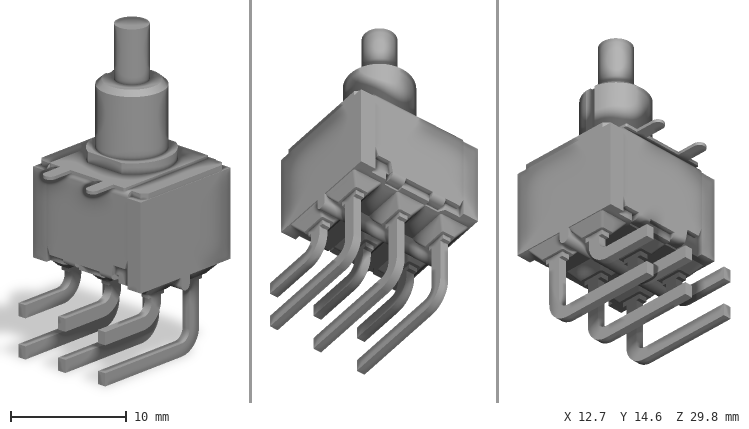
import cadquery as cq
import math


SHOULDER_Z = 8.43
DECK_Z = 8.97
PLATE_Z = 9.25
NUT_Z = 10.3
BUSHING_Z = 16.62
PLUNGER_Z = 21.78
TERMINAL_FOOT_Z = -8.0

OVERALL_Y = 14.6
HOUSING_X = 12.7
HOUSING_Y = 11.4
CORE_Y = 10.3
DECK_X = 12.6
DECK_CHAMFER = 0.48
DIVIDER_WIDTH = 1.05
DIVIDER_DROP = 1.3

COVER_X = 9.55
COVER_Y = 11.35
COVER_BEND_R = DECK_Z - SHOULDER_Z
COVER_EDGE_Z = 0.75
CUT_CORNER_X = 0.35
CUT_CORNER_Z = 0.95
NOTCH_Z = 1.75
NOTCH_X = 2.9
NOTCH_LEAN = 0.18
NOTCH_R = 0.15

POCKET_INNER_X = 1.45
POCKET_OUTER_X = 3.22
POCKET_DEPTH = 0.6
POCKET_TAPER = 0.35
LATCH_BEND_R = 0.55

PLATE_X = 8.88
PLATE_BACK_Y = 4.97
PLATE_CORNER_R = 0.18
TAB_PITCH = 5.05
TAB_WIDTH = 1.22
TAB_REACH = 8.25

NUT_D = 7.95
NUT_FLATS = 6.88
BUSHING_D = 6.35
BUSHING_RIM_D = 5.27
BUSHING_BEVEL = 0.48
KEYWAY_WIDTH = 1.0
KEYWAY_FLOOR = 2.38

PLUNGER_D = 3.1

TERMINAL_PITCH = 4.7
ROW_Y = 2.4
TERMINAL_WIDTH = 0.83
TERMINAL_THICKNESS = 1.22
TERMINAL_BEND_R = 1.0
TERMINAL_REACH = OVERALL_Y - HOUSING_Y / 2
ROW_STEP_Z = 3.8
SEAT_X = 3.07
SEAT_Y = 4.3
SEAT_HEIGHT = 0.98
SEAT_INSET = 0.83
SEAT_EDGE_R = 0.3
COLLAR_Y = 2.0
COLLAR_DROP = 1.45


def slab(size_x, size_y, bottom, top):
    """Box centred on the plunger axis between two levels."""
    return cq.Workplane("XY").workplane(offset=bottom).rect(size_x, size_y).extrude(top - bottom)


def make_case():
    """Core, two side walls, chamfered deck and the round-nosed divider underneath."""
    core = slab(HOUSING_X, CORE_Y, 0, SHOULDER_Z)
    wall_x = (HOUSING_X - COVER_X) / 2
    for side in (-1, 1):
        wall = slab(wall_x, HOUSING_Y, 0, SHOULDER_Z)
        core = core.union(wall.translate((side * (HOUSING_X - wall_x) / 2, 0, 0)))
    deck = slab(DECK_X, CORE_Y, SHOULDER_Z, DECK_Z).edges("|Z").chamfer(DECK_CHAMFER)

    radius = DIVIDER_WIDTH / 2
    divider = (
        cq.Workplane("YZ")
        .moveTo(-radius, 0)
        .lineTo(-radius, radius - DIVIDER_DROP)
        .threePointArc((0, -DIVIDER_DROP), (radius, radius - DIVIDER_DROP))
        .lineTo(radius, 0)
        .close()
        .extrude(HOUSING_X / 2, both=True)
    )
    return core.union(deck).union(divider)


def make_cover():
    """Cover with rounded upper bends, a cut lower corner and a notched lower corner."""
    half_x = COVER_X / 2
    sheet = slab(COVER_X, COVER_Y, 0, DECK_Z).edges("|X and >Z").fillet(COVER_BEND_R)
    outline = [
        (-half_x, DECK_Z),
        (-half_x, COVER_EDGE_Z + CUT_CORNER_Z),
        (-half_x + CUT_CORNER_X, COVER_EDGE_Z),
        (NOTCH_X, COVER_EDGE_Z),
        (NOTCH_X + NOTCH_LEAN, NOTCH_Z),
        (half_x - CUT_CORNER_X, NOTCH_Z),
        (half_x, NOTCH_Z + CUT_CORNER_Z),
        (half_x, DECK_Z),
    ]
    panel = cq.Workplane("XZ").polyline(outline).close().extrude(COVER_Y / 2, both=True)
    notch_corner = cq.selectors.NearestToPointSelector((NOTCH_X + NOTCH_LEAN, 0, NOTCH_Z))
    return sheet.intersect(panel.edges(notch_corner).fillet(NOTCH_R))


def make_latch_pocket():
    """Pocket in the front face of the core on the +X side, open below."""
    face_y = -CORE_Y / 2
    floor_y = face_y + POCKET_DEPTH
    outline = [
        (POCKET_INNER_X, face_y),
        (POCKET_OUTER_X, face_y),
        (POCKET_OUTER_X - POCKET_TAPER, floor_y),
        (POCKET_INNER_X, floor_y),
    ]
    return cq.Workplane("XY").polyline(outline).close().extrude(COVER_EDGE_Z)


def make_latch_tab():
    """Cover tab on the +X side, bent inward into the latch pocket."""
    face_y = -COVER_Y / 2
    floor_y = -CORE_Y / 2 + POCKET_DEPTH
    bend = LATCH_BEND_R * math.sqrt(0.5)
    centre_y = face_y + LATCH_BEND_R
    width = POCKET_OUTER_X - POCKET_TAPER - POCKET_INNER_X
    return (
        cq.Workplane("YZ")
        .workplane(offset=POCKET_INNER_X)
        .moveTo(face_y, COVER_EDGE_Z)
        .threePointArc((centre_y - bend, COVER_EDGE_Z - bend), (centre_y, COVER_EDGE_Z - LATCH_BEND_R))
        .lineTo(floor_y, COVER_EDGE_Z - LATCH_BEND_R)
        .lineTo(floor_y, COVER_EDGE_Z)
        .close()
        .extrude(width)
    )


def on_four_corners(shape):
    """The shape and its mirror images across X and Y."""
    pair = shape.union(shape.mirror("YZ"))
    return pair.union(pair.mirror("XZ"))


def make_plate():
    """Mounting plate, flush with the front of the housing, with two round-ended tabs."""
    front_y = -HOUSING_Y / 2
    thickness = PLATE_Z - DECK_Z
    level = cq.Workplane("XY").workplane(offset=DECK_Z)
    plate = (
        level.center(0, (PLATE_BACK_Y + front_y) / 2)
        .rect(PLATE_X, PLATE_BACK_Y - front_y)
        .extrude(thickness)
        .edges("|Z")
        .fillet(PLATE_CORNER_R)
    )
    for side in (-1, 1):
        tab = level.center(side * TAB_PITCH / 2, -TAB_REACH / 2).slot2D(TAB_REACH, TAB_WIDTH, 90)
        plate = plate.union(tab.extrude(thickness))
    return plate


def make_bushing():
    """Flatted collar and bevelled bushing with a keyway on the -X side."""
    flats = slab(NUT_D, NUT_FLATS, PLATE_Z, NUT_Z)
    nut = cq.Workplane("XY").workplane(offset=PLATE_Z).circle(NUT_D / 2).extrude(NUT_Z - PLATE_Z)
    profile = [
        (0, NUT_Z),
        (BUSHING_D / 2, NUT_Z),
        (BUSHING_D / 2, BUSHING_Z - BUSHING_BEVEL),
        (BUSHING_RIM_D / 2, BUSHING_Z),
        (0, BUSHING_Z),
    ]
    barrel = cq.Workplane("XZ").polyline(profile).close().revolve(360, (0, 0, 0), (0, 1, 0))
    keyway_depth = BUSHING_D / 2 - KEYWAY_FLOOR
    keyway = slab(keyway_depth, KEYWAY_WIDTH, NUT_Z, BUSHING_Z)
    keyway = keyway.translate((-KEYWAY_FLOOR - keyway_depth / 2, 0, 0))
    return nut.intersect(flats).union(barrel.cut(keyway))


def make_terminal(x, row_y, foot_z):
    """Terminal with its seat and collar; the leg drops at row_y and bends toward -Y at foot_z."""
    seat = (
        cq.Workplane("XY")
        .rect(SEAT_X, SEAT_Y)
        .extrude(-SEAT_HEIGHT, taper=math.degrees(math.atan2(SEAT_INSET, SEAT_HEIGHT)))
        .edges("not(<Z or >Z)")
        .fillet(SEAT_EDGE_R)
        .translate((x, row_y, 0))
    )
    collar = slab(TERMINAL_WIDTH, COLLAR_Y, -COLLAR_DROP, 0).translate((x, row_y, 0))

    back_y = row_y + TERMINAL_THICKNESS / 2
    front_y = row_y - TERMINAL_THICKNESS / 2
    outer_r = TERMINAL_BEND_R + TERMINAL_THICKNESS
    top_z = foot_z + TERMINAL_THICKNESS
    bend_y = front_y - TERMINAL_BEND_R
    bend_z = top_z + TERMINAL_BEND_R
    outer = outer_r * math.sqrt(0.5)
    inner = TERMINAL_BEND_R * math.sqrt(0.5)
    leg = (
        cq.Workplane("YZ")
        .workplane(offset=x)
        .moveTo(back_y, 0)
        .lineTo(back_y, bend_z)
        .threePointArc((bend_y + outer, bend_z - outer), (bend_y, foot_z))
        .lineTo(-TERMINAL_REACH, foot_z)
        .lineTo(-TERMINAL_REACH, top_z)
        .lineTo(bend_y, top_z)
        .threePointArc((bend_y + inner, bend_z - inner), (front_y, bend_z))
        .lineTo(front_y, 0)
        .close()
        .extrude(TERMINAL_WIDTH / 2, both=True)
    )
    return seat.union(collar).union(leg)


def make_plunger():
    """Round plunger standing in the bushing, down to the foot of the bushing."""
    return cq.Workplane("XY").workplane(offset=NUT_Z).circle(PLUNGER_D / 2).extrude(PLUNGER_Z - NUT_Z)


def make_housing(plunger):
    """Switch body with cover, plate, bushing and terminals, bored for the plunger."""
    body = make_case().union(make_cover())
    body = body.cut(on_four_corners(make_latch_pocket()))
    body = body.union(on_four_corners(make_latch_tab()))
    body = body.union(make_plate()).union(make_bushing())
    for column in (-1, 0, 1):
        x = column * TERMINAL_PITCH
        body = body.union(make_terminal(x, ROW_Y, TERMINAL_FOOT_Z))
        body = body.union(make_terminal(x, -ROW_Y, TERMINAL_FOOT_Z + ROW_STEP_Z))
    return body.cut(plunger)


plunger = make_plunger()
housing = make_housing(plunger)

result = cq.Compound.makeCompound([housing.solids().val(), plunger.val()])